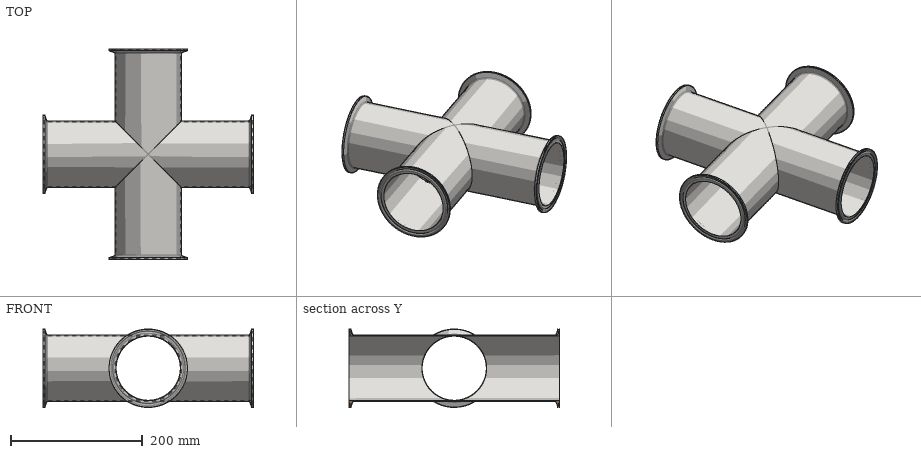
import cadquery as cq
import math

span = 320.0
tube_diameter = 101.6
bore_diameter = 97.6

flange_diameter = 119.0
rim_thickness = 2.85
clamp_angle = 20.0
neck_radius = 1.5

groove_diameter = 110.0
groove_depth = 1.5
groove_floor_radius = 1.2
groove_lip_radius = 0.9

half_span = span / 2
arm_angles = (0, 90, 180, 270)


def revolve_about_x(profile):
    return profile.revolve(360, (0, 0, 0), (1, 0, 0))


def arm_outside():
    """Solid tube and ferrule along +X, from the centre of the cross."""
    tube_radius = tube_diameter / 2
    flange_radius = flange_diameter / 2
    slope = math.radians(clamp_angle)

    rim_back = half_span - rim_thickness
    cone_foot = rim_back - (flange_radius - tube_radius) * math.tan(slope)

    turn = math.pi / 2 - slope
    tangent_length = neck_radius * math.tan(turn / 2)
    blend_start_x = cone_foot - tangent_length
    blend_end = (
        cone_foot + tangent_length * math.sin(slope),
        tube_radius + tangent_length * math.cos(slope),
    )
    blend_middle = (
        blend_start_x + neck_radius * math.sin(turn / 2),
        tube_radius + neck_radius * (1 - math.cos(turn / 2)),
    )

    profile = (
        cq.Workplane("XY")
        .moveTo(0, 0)
        .lineTo(0, tube_radius)
        .lineTo(blend_start_x, tube_radius)
        .threePointArc(blend_middle, blend_end)
        .lineTo(rim_back, flange_radius)
        .lineTo(half_span, flange_radius)
        .lineTo(half_span, 0)
        .close()
    )
    return revolve_about_x(profile)


def gasket_groove():
    """Ring to cut from the end face of the +X arm."""
    mean_radius = groove_diameter / 2
    floor_x = half_span - groove_depth

    centre_distance = groove_floor_radius + groove_lip_radius
    sweep = math.acos(1 - groove_depth / centre_distance)
    mouth_half_width = centre_distance * math.sin(sweep)
    joint_half_width = groove_floor_radius * math.sin(sweep)
    joint_x = floor_x + groove_floor_radius * (1 - math.cos(sweep))
    lip_middle_x = half_span - groove_lip_radius * (1 - math.cos(sweep / 2))
    lip_middle_half_width = mouth_half_width - groove_lip_radius * math.sin(sweep / 2)

    profile = (
        cq.Workplane("XY")
        .moveTo(half_span, mean_radius - mouth_half_width)
        .threePointArc(
            (lip_middle_x, mean_radius - lip_middle_half_width),
            (joint_x, mean_radius - joint_half_width),
        )
        .threePointArc((floor_x, mean_radius), (joint_x, mean_radius + joint_half_width))
        .threePointArc(
            (lip_middle_x, mean_radius + lip_middle_half_width),
            (half_span, mean_radius + mouth_half_width),
        )
        .close()
    )
    return revolve_about_x(profile)


def bores():
    """Two crossing bores through the full span."""
    bore_radius = bore_diameter / 2
    along_x = cq.Workplane("YZ").circle(bore_radius).extrude(half_span, both=True)
    along_y = cq.Workplane("XZ").circle(bore_radius).extrude(half_span, both=True)
    return along_x.union(along_y)


def cross_outside():
    """Four grooved arms joined at the centre."""
    arm = arm_outside().cut(gasket_groove())
    cross = cq.Workplane("XY")
    for angle in arm_angles:
        cross = cross.union(arm.rotate((0, 0, 0), (0, 0, 1), angle))
    return cross


result = cross_outside().cut(bores())